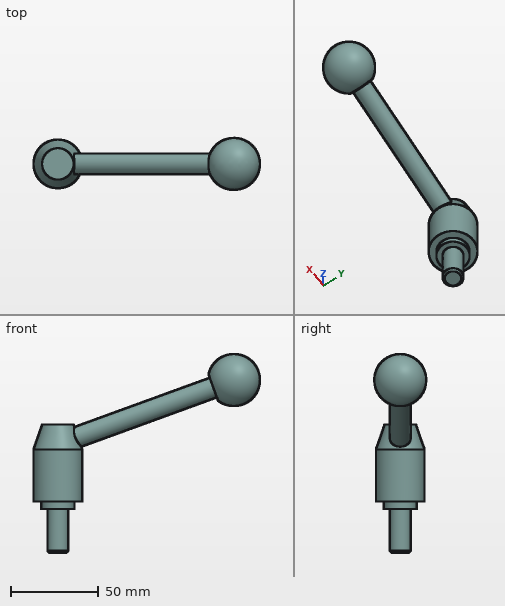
import cadquery as cq
import math

overall_length = 129.7
overall_height = 113.9

stud_diameter = 12.0
stud_length = 25.0
stud_chamfer = 1.3
collar_diameter = 19.1
collar_height = 4.3
hub_diameter = 28.0
hub_height = 30.0
cone_top_diameter = 18.0
cone_height = 14.3

arm_diameter = 12.0
arm_angle = 20.0
ball_diameter = 30.0
ball_flat_diameter = 16.3

ball_radius = ball_diameter / 2
ball_x = overall_length - hub_diameter / 2 - ball_radius
ball_z = overall_height - ball_radius
ball_flat_distance = math.sqrt(ball_radius**2 - (ball_flat_diameter / 2) ** 2)
arm_length = ball_x / math.cos(math.radians(arm_angle))

collar_bottom = stud_length
hub_bottom = collar_bottom + collar_height
cone_bottom = hub_bottom + hub_height
cone_top = cone_bottom + cone_height


def make_hub():
    """Revolve the stud, collar, hub and conical top as one profile."""
    return (
        cq.Workplane("XZ")
        .moveTo(0, 0)
        .lineTo(stud_diameter / 2 - stud_chamfer, 0)
        .lineTo(stud_diameter / 2, stud_chamfer)
        .lineTo(stud_diameter / 2, collar_bottom)
        .lineTo(collar_diameter / 2, collar_bottom)
        .lineTo(collar_diameter / 2, hub_bottom)
        .lineTo(hub_diameter / 2, hub_bottom)
        .lineTo(hub_diameter / 2, cone_bottom)
        .lineTo(cone_top_diameter / 2, cone_top)
        .lineTo(0, cone_top)
        .close()
        .revolve(360, (0, 0), (0, 1))
    )


def make_handle():
    """Revolve the arm and its flatted ball about the inclined arm axis.

    The profile's local X runs from the ball centre away from the hub.
    """
    handle_plane = cq.Plane(
        origin=(ball_x, 0, ball_z),
        xDir=(math.cos(math.radians(arm_angle)), 0, math.sin(math.radians(arm_angle))),
        normal=(0, -1, 0),
    )
    return (
        cq.Workplane(handle_plane)
        .moveTo(-arm_length, 0)
        .lineTo(-arm_length, arm_diameter / 2)
        .lineTo(-ball_flat_distance, arm_diameter / 2)
        .lineTo(-ball_flat_distance, ball_flat_diameter / 2)
        .threePointArc((0, ball_radius), (ball_radius, 0))
        .close()
        .revolve(360, (0, 0), (1, 0))
    )


result = make_hub().union(make_handle())